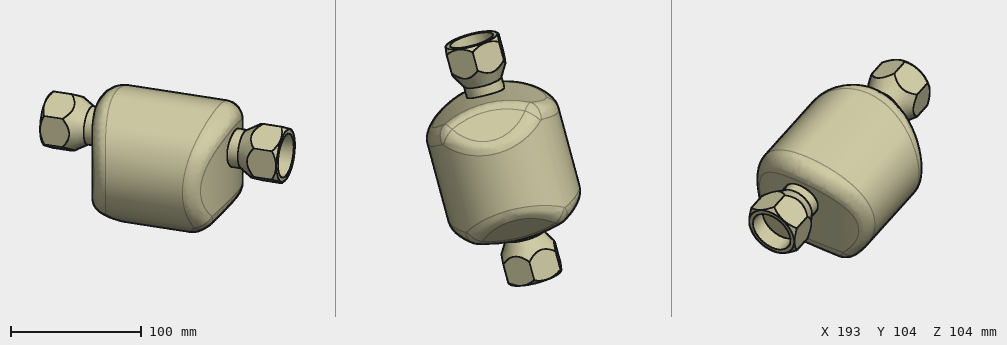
import cadquery as cq
import math

overall_length = 193.0
body_diameter = 104.0
body_length = 110.8
end_dome_radius = 91.0
body_fillet = 13.9
bevel_sum = 80.7

port_height = 19.0
neck_diameter = 30.0
nut_across_flats = 41.3
nut_chamfer = 3.5
nut_straight_length = 18.5
cone_angle = 30.5
bore_diameter = 34.0
bore_depth = 13.9

half_length = overall_length / 2
body_radius = body_diameter / 2
half_body = body_length / 2
nut_corner_radius = nut_across_flats / 2 / math.cos(math.radians(30))
neck_radius = neck_diameter / 2


def make_body():
    """Build a cylinder with ends domed about Z, bevelled at both lower ends and rounded."""
    dome_edge_x = half_body - end_dome_radius + math.sqrt(end_dome_radius**2 - body_radius**2)
    plan = (
        cq.Workplane("XY")
        .moveTo(-dome_edge_x, -body_radius)
        .lineTo(dome_edge_x, -body_radius)
        .threePointArc((half_body, 0), (dome_edge_x, body_radius))
        .lineTo(-dome_edge_x, body_radius)
        .threePointArc((-half_body, 0), (-dome_edge_x, -body_radius))
        .close()
        .extrude(body_radius, both=True)
    )
    body = cq.Workplane("YZ").circle(body_radius).extrude(half_body, both=True).intersect(plan)
    bevel_outline = [
        (-bevel_sum, 0),
        (bevel_sum, 0),
        (0, -bevel_sum),
    ]
    bevel_limits = cq.Workplane("XZ").polyline(bevel_outline).close().extrude(body_radius, both=True)
    upper_half = cq.Workplane("XY").box(
        body_length, body_diameter, body_radius, centered=(True, True, False)
    )
    body = body.intersect(bevel_limits.union(upper_half))
    return body.edges("not |X").fillet(body_fillet)


def make_port():
    """Neck, cone and hexagonal nut at the +X end, with a blind bore."""
    nut_end_radius = nut_corner_radius - nut_chamfer
    cone_start_x = half_length - nut_straight_length
    cone_length = (nut_corner_radius - neck_radius) / math.tan(math.radians(cone_angle))
    cone_end_x = cone_start_x - cone_length
    envelope = (
        cq.Workplane("XY")
        .polyline([
            (0, 0),
            (0, neck_radius),
            (cone_end_x, neck_radius),
            (cone_start_x, nut_corner_radius),
            (half_length - nut_chamfer, nut_corner_radius),
            (half_length, nut_end_radius),
            (half_length, 0),
        ])
        .close()
        .revolve(360, (0, 0, 0), (1, 0, 0))
    )
    hexagon = (
        cq.Workplane("YZ")
        .polygon(6, 2 * nut_corner_radius)
        .extrude(half_length)
        .rotate((0, 0, 0), (1, 0, 0), 90)
    )
    bore = (
        cq.Workplane("YZ")
        .workplane(offset=half_length - bore_depth)
        .circle(bore_diameter / 2)
        .extrude(bore_depth)
    )
    return envelope.intersect(hexagon).cut(bore).translate((0, 0, port_height))


port = make_port()
result = make_body().union(port).union(port.mirror("YZ"))